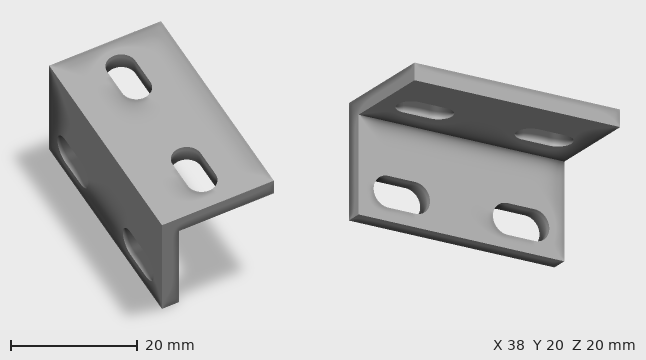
import cadquery as cq

length = 38.0
leg = 20.0
thickness = 3.0

slot_offset = 11.02
slot_straight = 5.0
top_slot_width = 5.0
front_slot_width = 5.4
top_slot_y = leg / 2
front_slot_z = 5.0


def angle_body():
    """Equal-leg angle centred on X, front face at Y = 0, bottom at Z = 0."""
    top_plate = cq.Workplane("XY").box(length, leg, thickness, centered=(True, False, False))
    front_plate = cq.Workplane("XY").box(length, thickness, leg, centered=(True, False, False))
    return front_plate.union(top_plate.translate((0, 0, leg - thickness)))


def slot_pair(plane, across, width, depth):
    """Two slot cutters on a plane, extruded along its normal."""
    centres = [(-slot_offset, across), (slot_offset, across)]
    return (
        cq.Workplane(plane)
        .pushPoints(centres)
        .slot2D(slot_straight + width, width)
        .extrude(depth)
    )


top_slots = slot_pair("XY", top_slot_y, top_slot_width, leg)
front_slots = slot_pair("XZ", front_slot_z, front_slot_width, -thickness)

result = angle_body().cut(top_slots).cut(front_slots)